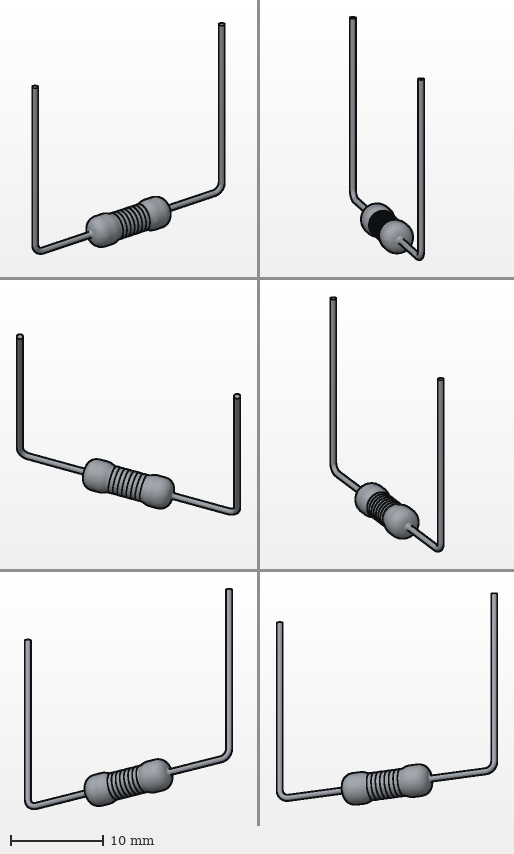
import cadquery as cq
import math


overall_length = 25.7
overall_height = 22.1
lead_diameter = 0.7
bend_radius = 1.03

cap_radius = 3.5 / 2
waist_radius = 2.98 / 2
stripe_radius = 3.0 / 2
waist_half_length = 1.8
shoulder_length = 1.03
cap_end = 3.8
dome_radius = 1.2
collar_radius = 0.67
collar_end = 5.32

stripe_width = 0.51
stripe_pitch = 1.03
stripe_count = 4

lead_radius = lead_diameter / 2
lead_offset = overall_length / 2 - lead_radius
lead_top = overall_height - cap_radius


def make_cap():
    """Revolve the +Y end of the body: shoulder, cap, dome and collar."""
    shoulder_end = waist_half_length + shoulder_length
    shoulder_rise = cap_radius - waist_radius
    shoulder_middle = (
        (waist_radius + cap_radius) / 2,
        waist_half_length + shoulder_length / 2,
    )
    shoulder_arc_radius = (shoulder_length**2 + shoulder_rise**2) / (4 * shoulder_rise)

    dome_center_radius = cap_radius - dome_radius
    dome_rise = collar_radius - dome_center_radius
    dome_end = cap_end + math.sqrt(dome_radius**2 - dome_rise**2)
    collar_bulge = 1 - math.sqrt(0.5)
    collar_middle = (
        lead_radius + collar_bulge * (collar_radius - lead_radius),
        dome_end + collar_bulge * (collar_end - dome_end),
    )
    dome_angle = math.acos(dome_rise / dome_radius) / 2
    dome_middle = (
        dome_center_radius + dome_radius * math.cos(dome_angle),
        cap_end + dome_radius * math.sin(dome_angle),
    )

    return (
        cq.Workplane("XY")
        .moveTo(0, waist_half_length)
        .lineTo(waist_radius, waist_half_length)
        .radiusArc(shoulder_middle, shoulder_arc_radius)
        .radiusArc((cap_radius, shoulder_end), -shoulder_arc_radius)
        .lineTo(cap_radius, cap_end)
        .threePointArc(dome_middle, (collar_radius, dome_end))
        .threePointArc(collar_middle, (lead_radius, collar_end))
        .lineTo(0, collar_end)
        .close()
        .revolve(360, (0, 0, 0), (0, 1, 0))
    )


def make_disc(radius, center_y, width):
    """A disc on the body axis, centred at center_y along Y."""
    return (
        cq.Workplane("XZ", origin=(0, center_y + width / 2, 0))
        .circle(radius)
        .extrude(width)
    )


def make_lead():
    """The +Y lead, swept outward from the waist and then upward."""
    bend_reach = bend_radius * math.sqrt(0.5)
    path = (
        cq.Workplane("YZ")
        .moveTo(waist_half_length, 0)
        .lineTo(lead_offset - bend_radius, 0)
        .threePointArc(
            (lead_offset - bend_radius + bend_reach, bend_radius - bend_reach),
            (lead_offset, bend_radius),
        )
        .lineTo(lead_offset, lead_top)
    )
    return cq.Workplane("XZ", origin=(0, waist_half_length, 0)).circle(lead_radius).sweep(path)


end = make_cap().union(make_lead())
waist = make_disc(waist_radius, 0, 2 * waist_half_length)
for index in range(stripe_count):
    stripe_y = (index - (stripe_count - 1) / 2) * stripe_pitch
    waist = waist.union(make_disc(stripe_radius, stripe_y, stripe_width))

result = waist.union(end).union(end.mirror("XZ"))